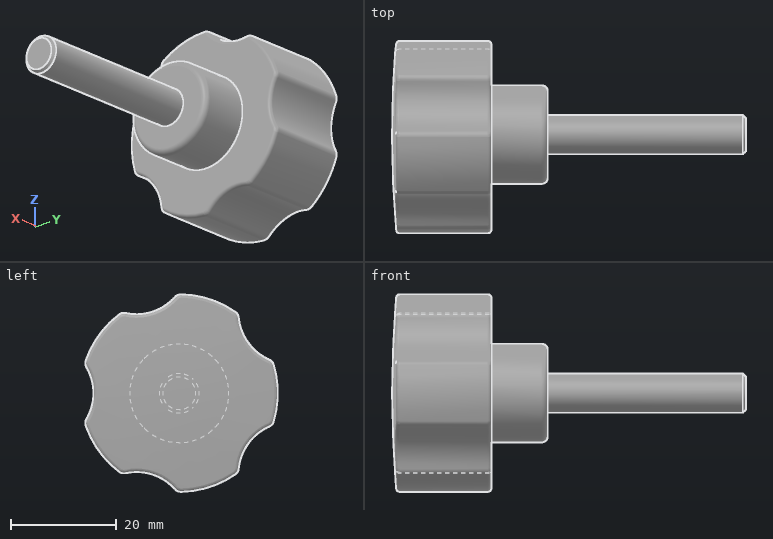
import cadquery as cq
import math

head_diameter = 37.4
head_length = 18.85
crown_height = 0.85
hub_diameter = head_diameter / 2
hub_length = 10.65
stem_diameter = 7.5
stem_length = 37.46

scallop_count = 5
scallop_depth = 2.5
scallop_radius = 9.7
corner_fillet = 1.5

rim_fillet = 0.75
hub_fillet = 1.2
stem_chamfer = 0.65

head_radius = head_diameter / 2
hub_radius = hub_diameter / 2
stem_radius = stem_diameter / 2
hub_end = head_length + hub_length
scallop_center_distance = head_radius - scallop_depth + scallop_radius
crown_radius = (head_radius**2 + crown_height**2) / (2 * crown_height)
scallop_step = 360 / scallop_count


def make_head():
    """Round head with a shallow spherical crown, scallops and rounded edges."""
    blank = cq.Workplane("YZ").circle(head_radius).extrude(head_length)
    crown = cq.Workplane("XY").sphere(crown_radius).translate((crown_radius, 0, 0))
    head = blank.intersect(crown)

    for index in range(scallop_count):
        angle = math.radians(index * scallop_step)
        cutter = (
            cq.Workplane("YZ")
            .center(
                scallop_center_distance * math.cos(angle),
                scallop_center_distance * math.sin(angle),
            )
            .circle(scallop_radius)
            .extrude(head_length)
        )
        head = head.cut(cutter)

    head = head.edges("|X").fillet(corner_fillet)
    head = head.faces(">X").edges().fillet(rim_fillet)
    return head.faces("<X").edges().fillet(rim_fillet)


def make_hub():
    """Cylindrical collar behind the head, rounded at its free end."""
    hub = cq.Workplane("YZ", origin=(head_length, 0, 0)).circle(hub_radius).extrude(hub_length)
    return hub.faces(">X").edges().fillet(hub_fillet)


def make_stem():
    """Plain stem with a chamfered tip."""
    stem = cq.Workplane("YZ", origin=(hub_end, 0, 0)).circle(stem_radius).extrude(stem_length)
    return stem.faces(">X").edges().chamfer(stem_chamfer)


result = make_head().union(make_hub()).union(make_stem())